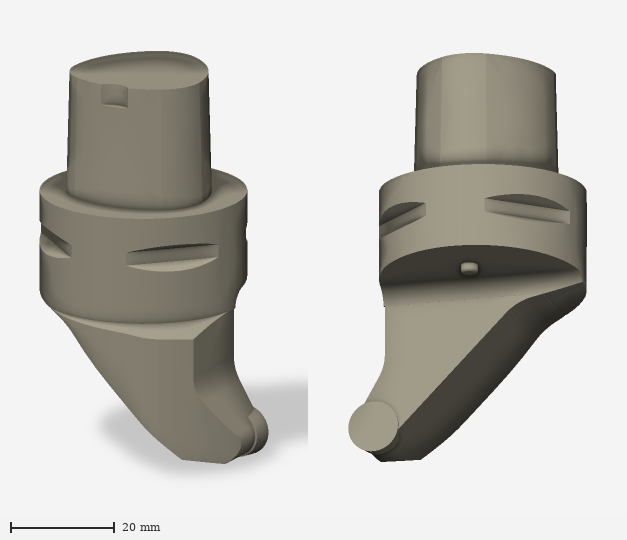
import cadquery as cq
import math

OVERALL_HEIGHT = 74.0

SHANK_HEIGHT = 24.0
LOBE_REACH = 14.9
FLANK_REACH = 13.2
LOBE_RADIUS = 8.9
SHANK_TAPER = 1.5

KEYWAY_DEPTH = 4.1
KEYWAY_RADIUS = 3.6
KEYWAY_REACH = 10.95

FLANGE_RADIUS = 40.0 / 2
FLANGE_HEIGHT = 21.0

SLOT_COUNT = 4
SLOT_WIDTH = 18.7
SLOT_FLOOR_HEIGHT = 2.6
SLOT_CENTRE_Z = -8.15
SLOT_FLANK_ANGLE = 30.0

INSERT_RADIUS = 10.0 / 2
INSERT_THICKNESS = 4.0
INSERT_CLEARANCE_ANGLE = 7.0
INSERT_X = 22.0
INSERT_Z = SHANK_HEIGHT + INSERT_RADIUS - OVERALL_HEIGHT

LEG_FRONT_Y = -22.5
LEG_LEFT_START = (-11.85, -16.1)
LEG_FRONT_LEFT_X = 4.0
LEG_FRONT_RIGHT_X = 10.0
LEG_CORNER_END = (14.05, -21.5)
LEG_TIP_SIDE_Y = -9.85
SHOULDER_ANGLE = 15.0

TIP_RADIUS = 4.1
LEG_WALL_X = 19.75
NECK_ANGLE = 60.0
NECK_BLEND_RADIUS = 8.9
UNDERSIDE_LEFT_Z = -19.45
UNDERSIDE_SLOPE = 0.2
UNDERSIDE_BLEND_RADIUS = 10.35

TIP_BEVEL_START_Y = -10.5
TIP_BEVEL_ANGLE = 15.0

LEG_BACK_Y = -0.45
RELIEF_OUTER_Z = -16.1
RELIEF_ANGLE = 5.0
RELIEF_BLEND_RADIUS = 3.7

NOZZLE_RADIUS = 3.3 / 2
NOZZLE_Y = 9.2
NOZZLE_END_Z = -18.65
NOZZLE_END_FILLET = 0.6

MARGIN = 7.4
SLOT_OVERSHOOT = 0.75


def polar(radius, degrees):
    angle = math.radians(degrees)
    return (radius * math.cos(angle), radius * math.sin(angle))


def make_shank():
    """Lobes at 90, 210 and 330 degrees joined by tangent flank arcs."""
    lobe_offset = LOBE_REACH - LOBE_RADIUS
    half_offset = lobe_offset / 2
    gap = FLANK_REACH - LOBE_RADIUS - half_offset
    side_offset = lobe_offset * math.cos(math.radians(30))
    flank_radius = (side_offset**2 / gap + FLANK_REACH + LOBE_RADIUS - half_offset) / 2
    flank_offset = flank_radius - FLANK_REACH
    joint_scale = flank_radius / (flank_radius - LOBE_RADIUS)
    joint_x = side_offset * joint_scale
    joint_y = flank_offset - (half_offset + flank_offset) * joint_scale
    joint_radius = math.hypot(joint_x, joint_y)
    joint_angle = math.degrees(math.atan2(joint_x, -joint_y))

    outline = cq.Workplane("XY").moveTo(*polar(joint_radius, 270 - joint_angle))
    for flank_direction in (270, 390, 510):
        outline = outline.threePointArc(
            polar(FLANK_REACH, flank_direction),
            polar(joint_radius, flank_direction + joint_angle),
        ).threePointArc(
            polar(LOBE_REACH, flank_direction + 60),
            polar(joint_radius, flank_direction + 120 - joint_angle),
        )
    shank = outline.close().extrude(SHANK_HEIGHT, taper=SHANK_TAPER)
    keyway = (
        cq.Workplane("XY", origin=(0, -KEYWAY_REACH - KEYWAY_RADIUS, SHANK_HEIGHT - KEYWAY_DEPTH))
        .circle(KEYWAY_RADIUS)
        .extrude(KEYWAY_DEPTH)
    )
    return shank.cut(keyway)


def make_flange():
    return cq.Workplane("XY").circle(FLANGE_RADIUS).extrude(-FLANGE_HEIGHT)


def make_gripper_slots():
    """Straight slots with flared flanks, one in each diagonal direction."""
    floor_reach = math.sqrt(FLANGE_RADIUS**2 - (SLOT_WIDTH / 2) ** 2)
    mouth_reach = FLANGE_RADIUS + SLOT_OVERSHOOT
    floor_half = SLOT_FLOOR_HEIGHT / 2
    mouth_half = floor_half + (mouth_reach - floor_reach) * math.tan(math.radians(SLOT_FLANK_ANGLE))
    slot = (
        cq.Workplane("XZ", origin=(0, 0, SLOT_CENTRE_Z))
        .polyline([
            (floor_reach, -floor_half),
            (mouth_reach, -mouth_half),
            (mouth_reach, mouth_half),
            (floor_reach, floor_half),
        ])
        .close()
        .extrude(SLOT_WIDTH / 2 + SLOT_OVERSHOOT, both=True)
    )
    step = 360 / SLOT_COUNT
    return [slot.rotate((0, 0, 0), (0, 0, 1), step * (i + 0.5)) for i in range(SLOT_COUNT)]


def make_leg_block():
    """Plan outline of the leg, full depth, with its conical top shoulder."""
    tip_x = INSERT_X + TIP_RADIUS
    left_run = LEG_FRONT_LEFT_X - LEG_LEFT_START[0]
    left_rise = LEG_LEFT_START[1] - LEG_FRONT_Y
    left_radius = (left_run**2 + left_rise**2) / (2 * left_rise)
    block = (
        cq.Workplane("XY", origin=(0, 0, -FLANGE_HEIGHT))
        .moveTo(*LEG_LEFT_START)
        .radiusArc((LEG_FRONT_LEFT_X, LEG_FRONT_Y), -left_radius)
        .lineTo(LEG_FRONT_RIGHT_X, LEG_FRONT_Y)
        .tangentArcPoint(LEG_CORNER_END, relative=False)
        .tangentArcPoint((tip_x, LEG_TIP_SIDE_Y), relative=False)
        .lineTo(tip_x, LEG_BACK_Y)
        .lineTo(LEG_LEFT_START[0], LEG_BACK_Y)
        .close()
        .extrude(-OVERALL_HEIGHT)
    )
    cone_reach = 2 * FLANGE_RADIUS
    cone_drop = (cone_reach - FLANGE_RADIUS) * math.tan(math.radians(SHOULDER_ANGLE))
    above_shoulder = (
        cq.Workplane("XZ")
        .polyline([
            (FLANGE_RADIUS, -FLANGE_HEIGHT),
            (cone_reach, -FLANGE_HEIGHT - cone_drop),
            (cone_reach, 0),
            (FLANGE_RADIUS, 0),
        ])
        .close()
        .revolve(360, (0, 0), (0, 1))
    )
    return block.cut(above_shoulder)


def make_profile_envelope():
    """Side profile of flange and leg, extruded along Y, rounded at the tip."""
    under_x, under_z = polar(TIP_RADIUS, 225)
    under_tangent = (INSERT_X + under_x, INSERT_Z + under_z)
    neck_x, neck_z = polar(TIP_RADIUS, 90 - NECK_ANGLE)
    neck_tangent = (INSERT_X + neck_x, INSERT_Z + neck_z)
    tip_x, tip_z = polar(TIP_RADIUS, 315)

    neck_rise = (neck_tangent[0] - LEG_WALL_X) * math.tan(math.radians(NECK_ANGLE))
    neck_corner = (LEG_WALL_X, neck_tangent[1] + neck_rise)
    diagonal_sum = under_tangent[0] + under_tangent[1]
    underside_axis_z = UNDERSIDE_LEFT_Z - UNDERSIDE_SLOPE * FLANGE_RADIUS
    corner_x = (diagonal_sum - underside_axis_z) / (1 - UNDERSIDE_SLOPE)
    under_corner = (corner_x, diagonal_sum - corner_x)

    outer_x = FLANGE_RADIUS + MARGIN
    outer_z = underside_axis_z + UNDERSIDE_SLOPE * outer_x
    envelope = (
        cq.Workplane("XZ")
        .moveTo(-outer_x, 0)
        .lineTo(-outer_x, outer_z)
        .lineTo(*under_corner)
        .lineTo(*under_tangent)
        .threePointArc((INSERT_X + tip_x, INSERT_Z + tip_z), neck_tangent)
        .lineTo(*neck_corner)
        .lineTo(LEG_WALL_X, -FLANGE_HEIGHT)
        .lineTo(outer_x, -FLANGE_HEIGHT)
        .lineTo(outer_x, 0)
        .close()
        .extrude(FLANGE_RADIUS + MARGIN, both=True)
    )
    for corner, radius in ((neck_corner, NECK_BLEND_RADIUS), (under_corner, UNDERSIDE_BLEND_RADIUS)):
        edge = cq.selectors.NearestToPointSelector((corner[0], 0, corner[1]))
        envelope = envelope.edges(edge).fillet(radius)
    return envelope


def make_rear_relief():
    """Space behind the leg, under a sloped ceiling blended into the leg back."""
    rise = math.tan(math.radians(RELIEF_ANGLE))
    outer_y = FLANGE_RADIUS + MARGIN
    inner_z = RELIEF_OUTER_Z - rise * (FLANGE_RADIUS - LEG_BACK_Y)
    relief = (
        cq.Workplane("YZ")
        .polyline([
            (LEG_BACK_Y, -OVERALL_HEIGHT),
            (LEG_BACK_Y, inner_z),
            (outer_y, RELIEF_OUTER_Z + rise * MARGIN),
            (outer_y, -OVERALL_HEIGHT),
        ])
        .close()
        .extrude(INSERT_X + MARGIN, both=True)
    )
    corner = cq.selectors.NearestToPointSelector((0, LEG_BACK_Y, inner_z))
    return relief.edges(corner).fillet(RELIEF_BLEND_RADIUS)


def make_tip_bevel():
    """Wedge below the tip whose top plane rises toward the leg front."""
    start_z = INSERT_Z - TIP_RADIUS
    reach_y = LEG_FRONT_Y - MARGIN
    rise = (TIP_BEVEL_START_Y - reach_y) * math.tan(math.radians(TIP_BEVEL_ANGLE))
    return (
        cq.Workplane("YZ")
        .polyline([(TIP_BEVEL_START_Y, start_z), (reach_y, start_z + rise), (reach_y, start_z)])
        .close()
        .extrude(INSERT_X + MARGIN)
    )


def make_nozzle():
    return (
        cq.Workplane("XY", origin=(0, NOZZLE_Y, NOZZLE_END_Z))
        .circle(NOZZLE_RADIUS)
        .extrude(RELIEF_OUTER_Z - NOZZLE_END_Z)
        .faces("<Z")
        .fillet(NOZZLE_END_FILLET)
    )


def make_insert():
    """Round insert with its cutting face on Y = 0, narrowing toward -Y."""
    return (
        cq.Workplane("XZ", origin=(INSERT_X, 0, INSERT_Z))
        .circle(INSERT_RADIUS)
        .extrude(INSERT_THICKNESS, taper=INSERT_CLEARANCE_ANGLE)
    )


def make_holder(insert):
    lower = make_flange().union(make_leg_block())
    lower = lower.intersect(make_profile_envelope())
    lower = lower.cut(make_rear_relief()).cut(make_tip_bevel())
    for slot in make_gripper_slots():
        lower = lower.cut(slot)
    return lower.union(make_shank()).union(make_nozzle()).cut(insert)


insert = make_insert()
holder = make_holder(insert)
result = cq.Compound.makeCompound([holder.val(), insert.val()])